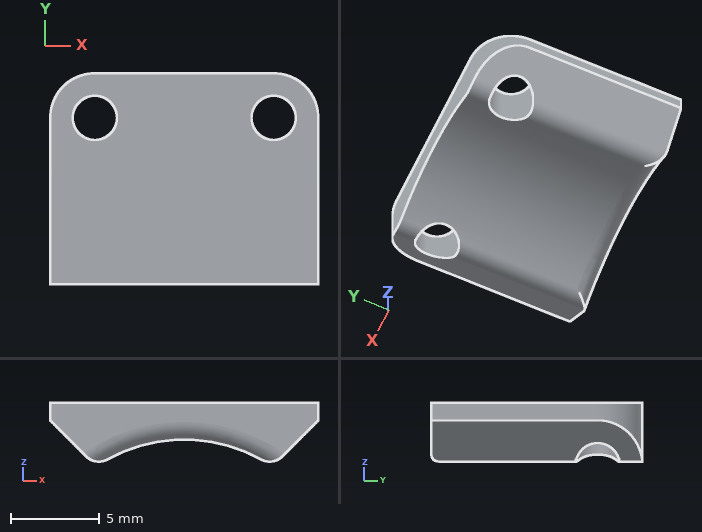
import cadquery as cq
import math

width = 15.24
length = 12.0
side_height = 1.0
crown_thickness = 2.1
arch_radius = 9.0
foot_radius = 1.0
front_rounding = 1.0
corner_radius = 2.54
hole_diameter = 2.5

half_width = width / 2
arch_center_z = -(crown_thickness + arch_radius)
hole_x = half_width - corner_radius
hole_y = length - corner_radius
tool_depth = crown_thickness + arch_radius

flank_offset = half_width + side_height + arch_center_z
foot_x = (math.sqrt(2 * arch_radius**2 - flank_offset**2) + flank_offset) / 2
foot_z = foot_x - half_width - side_height


def make_body():
    """Arched plate with 45 degree flanks, extruded from front to rear."""
    profile = (
        cq.Workplane("XZ")
        .moveTo(-half_width, 0)
        .lineTo(half_width, 0)
        .lineTo(half_width, -side_height)
        .lineTo(foot_x, foot_z)
        .threePointArc((0, -crown_thickness), (-foot_x, foot_z))
        .lineTo(-half_width, -side_height)
        .close()
    )
    body = profile.extrude(-length)
    return body.edges("|Y").edges("<Z").fillet(foot_radius)


def make_front_rim_cutter():
    """Ring about the arch axis that leaves a convex rounding on the front rim."""
    outer_radius = arch_radius + front_rounding
    diagonal = front_rounding * math.sqrt(0.5)
    section = (
        cq.Workplane("XY", origin=(0, 0, arch_center_z))
        .moveTo(arch_radius, 0)
        .lineTo(outer_radius, 0)
        .threePointArc(
            (outer_radius - diagonal, front_rounding - diagonal),
            (arch_radius, front_rounding),
        )
        .close()
    )
    return section.revolve(360, (0, 0, 0), (0, 1, 0))


def make_plan_envelope():
    """Plan outline with the two rear corners rounded, deeper than the body."""
    block = cq.Workplane("XY").box(width, length, tool_depth, centered=(True, False, False))
    block = block.edges("|Z and >Y").fillet(corner_radius)
    return block.translate((0, 0, -tool_depth))


def make_holes():
    """Vertical through holes concentric with the rear corners."""
    return (
        cq.Workplane("XY")
        .pushPoints([(-hole_x, hole_y), (hole_x, hole_y)])
        .circle(hole_diameter / 2)
        .extrude(-tool_depth)
    )


body = make_body().cut(make_front_rim_cutter())
body = body.intersect(make_plan_envelope())
result = body.cut(make_holes())